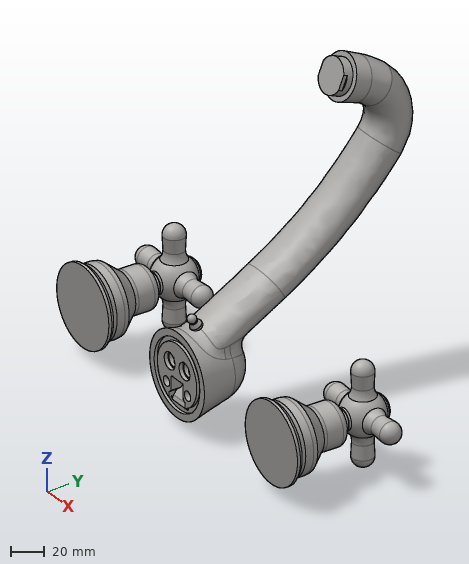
import cadquery as cq
import math


TOTAL_WIDTH = 272.0
HANDLE_SPACING = 100.0
HANDLE_BASE_RADIUS = 27.7
BASE_RIM = 2.2
FOOT_RADIUS = 25.5
FOOT_HEIGHT = 5.0
SHROUD_RADIUS = 24.5
SHROUD_START = 8.2
SHROUD_END = 14.0
SHOULDER_RADIUS = 24.0
SHOULDER_HEIGHT = 17.0
CONE_END_RADIUS = 15.2
CONE_END = 27.7
COLLAR_RADIUS = 14.7
COLLAR_START = 30.5
COLLAR_END = 47.0
COLLAR_ROUND = 5.2
STEM_RADIUS = 6.8
HUB_FOOT_RADIUS = 7.3
HUB_FOOT_START = 51.0
HUB_HEIGHT = 65.5
HUB_RADIUS = 15.0
HUB_TOP = 77.2
HUB_CAP_RADIUS = 9.2
HUB_CAP_END = 80.5
HUB_CAP_BEVEL = 2.2
ARM_REACH = TOTAL_WIDTH / 2 - HANDLE_SPACING
ARM_TIP_RADIUS = 7.3
ARM_NECK_RADIUS = 6.8
ARM_NECK_REACH = 18.8
ARM_ROOT_RADIUS = 11.7
ARM_ROOT_REACH = 9.2
ARM_FLARE_MIDDLE = (12.5, 8.5)

STRAIGHT_ANGLE = 30.0
BEND_START_ANGLE = 52.0
BEND_END_ANGLE = 142.0
NOSE_ANGLE = 158.0
STRAIGHT_START = (7.0, 11.2)
STRAIGHT_LENGTH = 65.3
SWEEP_RADIUS = 283.0
BEND_RADIUS = 28.8
NOSE_RADIUS = 51.7
NOSE_LENGTH = 11.7
STRAIGHT_SECTION = (18.0, 12.0)
BEND_START_SECTION = (16.5, 14.0)
BEND_END_SECTION = (16.0, 14.1)
NOSE_SECTION = (15.8, 14.7)
TIP_SECTION = (15.5, 15.5)
SECTION_STEP_ANGLE = 12.0
MIN_STEPS = 3

AERATOR_RADIUS = 12.0
AERATOR_LENGTH = 7.0
FLAT_OFFSET = 11.0
FLAT_LENGTH = 2.7

MOUNT_RADIUS = 29.0
MOUNT_TAPER = 13.5
DOME_RADIUS = 23.5
BLEND_RADIUS = 12.0
GROOVE_OUTER_RADIUS = 24.2
GROOVE_INNER_RADIUS = 21.0
GROOVE_DEPTH = 2.2
INLET_OFFSET = (8.0, 6.0)
INLET_RADIUS = 5.7
INLET_DEPTH = 2.7
INLET_BORE_RADIUS = 4.5
INLET_BORE_DEPTH = 6.8
INLET_FLOOR_ANGLE = 25.0
SCREW_OFFSET = (11.2, -9.2)
SCREW_RADIUS = 3.3
SCREW_DEPTH = 5.5
DRILL_ANGLE = 118.0
SLOT_HALF_WIDTH = 6.3
SLOT_MOUTH_HALF_WIDTH = 8.5
SLOT_CORNER_RADIUS = 1.0
SLOT_TOP = -3.3
SLOT_FLARE_START = -13.3
SLOT_FLARE_END = -15.2
SLOT_SILL = -18.2
SLOT_SILL_DEPTH = 3.3
SLOT_DEPTH = 15.0

KNOB_FOOT = (13.3, 30.2)
KNOB_COLLAR_RADIUS = 4.0
KNOB_COLLAR_END_RADIUS = 2.7
KNOB_COLLAR_HEIGHT = 3.0
KNOB_ROOT = 5.5
KNOB_BALL_RADIUS = 3.0
KNOB_BALL_HEIGHT = 5.5


def handle_body():
    """Bell-shaped shroud and stem, turned about Y."""
    collar_arc = COLLAR_ROUND * (1 - math.sqrt(0.5))
    profile = (
        cq.Workplane("XY")
        .lineTo(HANDLE_BASE_RADIUS, 0)
        .lineTo(HANDLE_BASE_RADIUS, BASE_RIM)
        .lineTo(FOOT_RADIUS, FOOT_HEIGHT)
        .lineTo(SHROUD_RADIUS, SHROUD_START)
        .lineTo(SHROUD_RADIUS, SHROUD_END)
        .lineTo(SHOULDER_RADIUS, SHOULDER_HEIGHT)
        .lineTo(CONE_END_RADIUS, CONE_END)
        .lineTo(COLLAR_RADIUS, COLLAR_START)
        .lineTo(COLLAR_RADIUS, COLLAR_END - COLLAR_ROUND)
        .threePointArc(
            (COLLAR_RADIUS - collar_arc, COLLAR_END - collar_arc),
            (COLLAR_RADIUS - COLLAR_ROUND, COLLAR_END),
        )
        .lineTo(STEM_RADIUS, COLLAR_END)
        .lineTo(STEM_RADIUS, HUB_FOOT_START)
        .lineTo(HUB_FOOT_RADIUS, HUB_FOOT_START)
        .lineTo(HUB_FOOT_RADIUS, HUB_HEIGHT)
        .lineTo(0, HUB_HEIGHT)
        .close()
    )
    return profile.revolve(360, (0, 0), (0, 1))


def handle_hub():
    """Ball with a flat top and a bevelled cap."""
    ball = cq.Workplane("XZ", origin=(0, HUB_HEIGHT, 0)).sphere(HUB_RADIUS)
    width = 2 * HUB_RADIUS
    top = cq.Workplane("XZ", origin=(0, HUB_TOP, 0)).rect(width, width).extrude(-HUB_RADIUS)
    cap = (
        cq.Workplane("XZ", origin=(0, HUB_HEIGHT, 0))
        .circle(HUB_CAP_RADIUS)
        .extrude(HUB_HEIGHT - HUB_CAP_END)
        .faces(">Y")
        .chamfer(HUB_CAP_BEVEL)
    )
    return ball.cut(top).union(cap)


def handle_arm():
    """One arm along +X, flaring into the hub and rounded at its tip."""
    tip_start = ARM_REACH - ARM_TIP_RADIUS
    tip_arc = ARM_TIP_RADIUS * math.sqrt(0.5)
    profile = (
        cq.Workplane("XY")
        .lineTo(0, ARM_ROOT_RADIUS)
        .lineTo(ARM_ROOT_REACH, ARM_ROOT_RADIUS)
        .threePointArc(ARM_FLARE_MIDDLE, (ARM_NECK_REACH, ARM_NECK_RADIUS))
        .lineTo(tip_start, ARM_TIP_RADIUS)
        .threePointArc((tip_start + tip_arc, tip_arc), (ARM_REACH, 0))
        .close()
    )
    return profile.revolve(360, (0, 0), (1, 0)).translate((0, HUB_HEIGHT, 0))


def handle(x):
    body = handle_body().union(handle_hub())
    for turn in range(4):
        body = body.union(handle_arm().rotate((0, 0, 0), (0, 1, 0), 90 * turn))
    return body.translate((x, 0, 0))


def direction(angle):
    return math.cos(math.radians(angle)), math.sin(math.radians(angle))


def along(point, angle, distance):
    """The (Y, Z) point a distance away from another."""
    dy, dz = direction(angle)
    return point[0] + distance * dy, point[1] + distance * dz


def arc_end(start, radius, start_angle, angle):
    """The point on a left-turning arc where it heads along an angle."""
    centre = along(start, start_angle + 90, radius)
    return along(centre, angle - 90, radius)


def plane_across(point, angle):
    """Plane across the centre line, with its normal along an angle."""
    return cq.Plane(origin=(0, *point), xDir=(1, 0, 0), normal=(0, *direction(angle)))


def section_wire(point, angle, half_width, half_depth):
    """Elliptical outline across the centre line."""
    plane = plane_across(point, angle)
    return cq.Wire.makeEllipse(half_width, half_depth, plane.origin, plane.zDir, plane.xDir)


def bent_tube(start, radius, start_angle, end_angle, start_section, end_section):
    """Elliptical tube along an arc, changing evenly from one section to another."""
    steps = max(MIN_STEPS, math.ceil((end_angle - start_angle) / SECTION_STEP_ANGLE))
    wires = []
    for step in range(steps + 1):
        share = step / steps
        angle = start_angle + share * (end_angle - start_angle)
        half_width, half_depth = [
            first + share * (last - first) for first, last in zip(start_section, end_section)
        ]
        point = arc_end(start, radius, start_angle, angle)
        wires.append(section_wire(point, angle, half_width, half_depth))
    return cq.Workplane(cq.Solid.makeLoft(wires))


STRAIGHT_END = along(STRAIGHT_START, STRAIGHT_ANGLE, STRAIGHT_LENGTH)
BEND_START = arc_end(STRAIGHT_END, SWEEP_RADIUS, STRAIGHT_ANGLE, BEND_START_ANGLE)
BEND_END = arc_end(BEND_START, BEND_RADIUS, BEND_START_ANGLE, BEND_END_ANGLE)
NOSE_START = arc_end(BEND_END, NOSE_RADIUS, BEND_END_ANGLE, NOSE_ANGLE)
TIP = along(NOSE_START, NOSE_ANGLE, NOSE_LENGTH)


def mount_dome():
    """Cone on the wall running smoothly into a spherical top, turned about Y."""
    cos_taper, sin_taper = direction(MOUNT_TAPER)
    dome_centre = (MOUNT_RADIUS * cos_taper - DOME_RADIUS) / sin_taper
    dome_arc = DOME_RADIUS * math.sqrt(0.5)
    return (
        cq.Workplane("XY")
        .lineTo(MOUNT_RADIUS, 0)
        .lineTo(DOME_RADIUS * cos_taper, dome_centre + DOME_RADIUS * sin_taper)
        .threePointArc((dome_arc, dome_centre + dome_arc), (0, dome_centre + DOME_RADIUS))
        .close()
        .revolve(360, (0, 0), (0, 1))
    )


def straight_tube():
    plane = plane_across(STRAIGHT_START, STRAIGHT_ANGLE)
    return cq.Workplane(plane).ellipse(*STRAIGHT_SECTION).extrude(STRAIGHT_LENGTH)


def mount():
    """Dome and straight tube, with a blend along the line where they meet."""
    return mount_dome().union(straight_tube()).edges("%BSPLINE").fillet(BLEND_RADIUS)


def bends():
    """Long sweep, tight bend, gentle nose bend and straight nose of the tube."""
    sweep = bent_tube(
        STRAIGHT_END, SWEEP_RADIUS, STRAIGHT_ANGLE, BEND_START_ANGLE, STRAIGHT_SECTION, BEND_START_SECTION
    )
    bend = bent_tube(
        BEND_START, BEND_RADIUS, BEND_START_ANGLE, BEND_END_ANGLE, BEND_START_SECTION, BEND_END_SECTION
    )
    nose_bend = bent_tube(
        BEND_END, NOSE_RADIUS, BEND_END_ANGLE, NOSE_ANGLE, BEND_END_SECTION, NOSE_SECTION
    )
    nose_wires = [
        section_wire(NOSE_START, NOSE_ANGLE, *NOSE_SECTION),
        section_wire(TIP, NOSE_ANGLE, *TIP_SECTION),
    ]
    nose = cq.Workplane(cq.Solid.makeLoft(nose_wires))
    return [sweep, bend, nose_bend, nose]


def aerator():
    """Outlet disc with two wrench flats at its free end."""
    disc = cq.Workplane(plane_across(TIP, NOSE_ANGLE)).circle(AERATOR_RADIUS).extrude(AERATOR_LENGTH)
    flats_plane = plane_across(along(TIP, NOSE_ANGLE, AERATOR_LENGTH - FLAT_LENGTH), NOSE_ANGLE)
    flat_centres = [(side * (FLAT_OFFSET + FLAT_LENGTH), 0) for side in (-1, 1)]
    flats = (
        cq.Workplane(flats_plane)
        .pushPoints(flat_centres)
        .rect(2 * FLAT_LENGTH, 2 * AERATOR_RADIUS)
        .extrude(FLAT_LENGTH)
    )
    return disc.cut(flats)


def lift_knob():
    """Ball on a conical collar, standing square to the straight tube."""
    collar_end = KNOB_ROOT + KNOB_COLLAR_HEIGHT
    ball_centre = KNOB_ROOT + KNOB_BALL_HEIGHT
    root = along(KNOB_FOOT, STRAIGHT_ANGLE + 90, -KNOB_ROOT)
    plane = plane_across(root, STRAIGHT_ANGLE + 90)
    profile_plane = cq.Plane(origin=plane.origin, xDir=plane.xDir, normal=-plane.yDir)
    collar = (
        cq.Workplane(profile_plane)
        .lineTo(KNOB_COLLAR_RADIUS, 0)
        .lineTo(KNOB_COLLAR_RADIUS, KNOB_ROOT)
        .lineTo(KNOB_COLLAR_END_RADIUS, collar_end)
        .lineTo(0, collar_end)
        .close()
        .revolve(360, (0, 0), (0, 1))
    )
    ball = cq.Workplane(plane).workplane(offset=ball_centre).sphere(KNOB_BALL_RADIUS)
    return collar.union(ball)


def wall_disc(centre, radius, depth):
    """Cylinder from the wall plane into the mount, centred at (X, Z)."""
    x, z = centre
    return cq.Workplane("XZ", origin=(x, 0, z)).circle(radius).extrude(-depth)


def groove():
    outer = wall_disc((0, 0), GROOVE_OUTER_RADIUS, GROOVE_DEPTH)
    return outer.cut(wall_disc((0, 0), GROOVE_INNER_RADIUS, GROOVE_DEPTH))


def inlet(side):
    """Counterbored water inlet whose floor slopes, deepest at the top."""
    x, z = side * INLET_OFFSET[0], INLET_OFFSET[1]
    rise = INLET_BORE_RADIUS * math.tan(math.radians(INLET_FLOOR_ANGLE))
    deepest = INLET_BORE_DEPTH + rise
    slope = (
        cq.Workplane("YZ", origin=(x - INLET_BORE_RADIUS, 0, z))
        .moveTo(0, -INLET_BORE_RADIUS)
        .lineTo(INLET_BORE_DEPTH - rise, -INLET_BORE_RADIUS)
        .lineTo(deepest, INLET_BORE_RADIUS)
        .lineTo(0, INLET_BORE_RADIUS)
        .close()
        .extrude(2 * INLET_BORE_RADIUS)
    )
    bore = wall_disc((x, z), INLET_BORE_RADIUS, deepest).intersect(slope)
    return wall_disc((x, z), INLET_RADIUS, INLET_DEPTH).union(bore)


def screw_hole(side):
    """Blind hole with a drill-point end."""
    point_end = SCREW_DEPTH + SCREW_RADIUS / math.tan(math.radians(DRILL_ANGLE / 2))
    profile = (
        cq.Workplane("XY")
        .lineTo(SCREW_RADIUS, 0)
        .lineTo(SCREW_RADIUS, SCREW_DEPTH)
        .lineTo(0, point_end)
        .close()
    )
    hole = profile.revolve(360, (0, 0), (0, 1))
    return hole.translate((side * SCREW_OFFSET[0], 0, SCREW_OFFSET[1]))


def slot():
    """Pocket that widens downwards into the groove, over a sloping floor."""
    bottom = -GROOVE_INNER_RADIUS
    outline = (
        cq.Workplane("XZ")
        .moveTo(-SLOT_HALF_WIDTH, SLOT_TOP)
        .lineTo(SLOT_HALF_WIDTH, SLOT_TOP)
        .lineTo(SLOT_HALF_WIDTH, SLOT_FLARE_START)
        .lineTo(SLOT_MOUTH_HALF_WIDTH, SLOT_FLARE_END)
        .lineTo(SLOT_MOUTH_HALF_WIDTH, bottom)
        .lineTo(-SLOT_MOUTH_HALF_WIDTH, bottom)
        .lineTo(-SLOT_MOUTH_HALF_WIDTH, SLOT_FLARE_END)
        .lineTo(-SLOT_HALF_WIDTH, SLOT_FLARE_START)
        .close()
        .extrude(-SLOT_DEPTH)
        .edges("|Y and >Z")
        .fillet(SLOT_CORNER_RADIUS)
    )
    side_profile = (
        cq.Workplane("YZ", origin=(-SLOT_MOUTH_HALF_WIDTH, 0, 0))
        .moveTo(0, SLOT_TOP)
        .lineTo(SLOT_DEPTH, SLOT_TOP)
        .lineTo(SLOT_SILL_DEPTH, SLOT_SILL)
        .lineTo(GROOVE_DEPTH, bottom)
        .lineTo(0, bottom)
        .close()
        .extrude(2 * SLOT_MOUTH_HALF_WIDTH)
    )
    return outline.intersect(side_profile)


def spout():
    body = mount()
    for piece in [*bends(), aerator(), lift_knob()]:
        body = body.union(piece)
    body = body.cut(groove()).cut(slot())
    for side in (-1, 1):
        body = body.cut(inlet(side)).cut(screw_hole(side))
    return body


handles = [handle(side * HANDLE_SPACING) for side in (-1, 1)]
result = cq.Compound.makeCompound([spout().val(), *[each.val() for each in handles]])